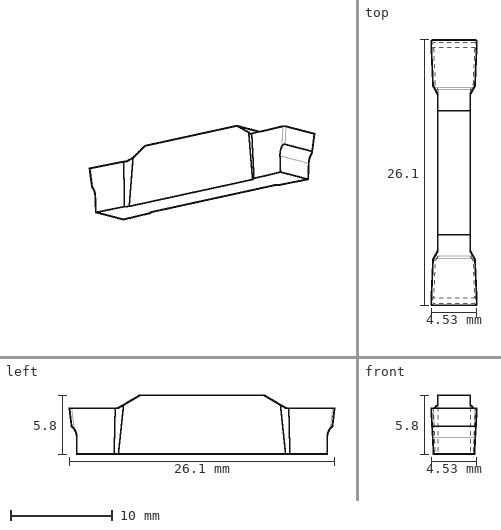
import cadquery as cq
import math

length = 26.1
height = 5.8
tip_width = 4.55
body_width = 3.25

head_height = 4.52
head_length = 4.52
head_back_lean = 0.1
side_taper = 2.5
side_draft = 2.75
neck_angle = 30.0
corner_radius = 0.2

ramp_foot = 4.765
ramp_top = 6.95
ramp_blend_radius = 0.45

clearance_angle = 7.0
lip_height = 2.75
relief_height = 1.65
relief_depth = 0.73

half_length = length / 2
clearance_slope = math.tan(math.radians(clearance_angle))
over_width = 2 * tip_width


def mirror_points(points):
    """Close an outline by adding its mirror image in the first coordinate."""
    return points + [(-a, b) for a, b in reversed(points)]


def plan_outline(z):
    """Plan outline (X, Y) of the heads, necks and body at height z."""
    drop = head_height - z
    half_tip = tip_width / 2 - drop * math.tan(math.radians(side_draft))
    back_depth = head_length - head_back_lean * drop / head_height
    half_back = half_tip - back_depth * math.tan(math.radians(side_taper))
    half_body = body_width / 2
    neck_length = (half_back - half_body) / math.tan(math.radians(neck_angle))
    back_y = half_length - back_depth
    neck_y = back_y - neck_length
    upper_half = [(half_tip, half_length), (half_back, back_y), (half_body, neck_y)]
    lower_half = [(x, -y) for x, y in reversed(upper_half)]
    return mirror_points(upper_half + lower_half)


def tapered_plan():
    base = cq.Workplane("XY").polyline(plan_outline(0)).close()
    top = base.workplane(offset=height).polyline(plan_outline(height)).close()
    return top.loft(ruled=True)


def side_profile():
    """Long side outline (Y, Z), with sloping tips and ramps, as a wide slab."""
    outline = mirror_points([
        (half_length - head_height * clearance_slope, 0),
        (half_length, head_height),
        (half_length - ramp_foot, head_height),
        (half_length - ramp_top, height),
    ])
    slab = cq.Workplane("YZ").polyline(outline).close().extrude(over_width / 2, both=True)
    foot_y = half_length - ramp_foot
    margin = 0.03
    for y in (-foot_y, foot_y):
        foot_box = cq.selectors.BoxSelector(
            (-over_width, y - margin, head_height - margin),
            (over_width, y + margin, head_height + margin),
        )
        slab = slab.edges(foot_box).fillet(ramp_blend_radius)
    return slab


def tip_relief():
    """Material removed below the +Y lip; the arc meets the end face tangentially."""
    lip_y = half_length - (head_height - lip_height) * clearance_slope
    end_y = half_length - relief_depth
    run = lip_y - end_y
    rise = lip_height - relief_height
    radius = (run**2 + rise**2) / (2 * run)
    half_sweep = math.asin(rise / radius) / 2
    arc_middle = (
        end_y + radius * (1 - math.cos(half_sweep)),
        relief_height + radius * math.sin(half_sweep),
    )
    outline = (
        cq.Workplane("YZ")
        .moveTo(end_y, 0)
        .lineTo(end_y, relief_height)
        .threePointArc(arc_middle, (lip_y, lip_height))
        .lineTo(half_length, lip_height)
        .lineTo(half_length, 0)
        .close()
    )
    return outline.extrude(over_width / 2, both=True)


result = tapered_plan().intersect(side_profile())

tip_zone = 2 * relief_depth
for y_near, y_far in (
    (half_length - tip_zone, half_length + tip_zone),
    (-half_length - tip_zone, -half_length + tip_zone),
):
    tip_box = cq.selectors.BoxSelector((-over_width, y_near, 0), (over_width, y_far, height))
    result = result.edges(tip_box).edges("not #Z").fillet(corner_radius)

relief = tip_relief()
result = result.cut(relief).cut(relief.mirror("XZ"))